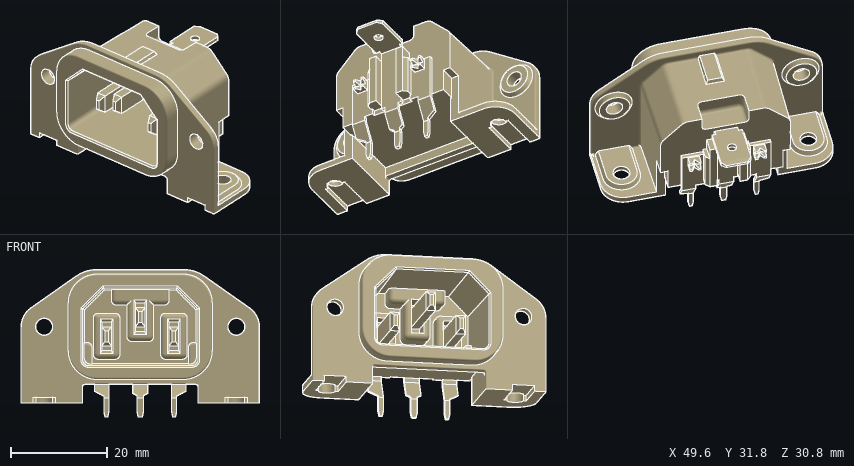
import cadquery as cq
import math


CLEAR = 0.5
NEAR = 0.025
FAR = 49.6

FLANGE_HALF = 24.8
FLANGE_TOP = 27.8
FLANGE_THICK = 1.65
SHOULDER_Z = 18.35
SHOULDER_X = 11.4
TOP_CORNER_R = 7.45
SIDE_CORNER_R = 4.8
NOTCH_HALF = 12.0
NOTCH_TOP = 3.85
NOTCH_R = 0.5
FRONT_EDGE_R = 0.25
BACK_EDGE_R = 0.4

HOLE_X = FLANGE_HALF - SIDE_CORNER_R
HOLE_Z = 15.85
HOLE_R = 1.75
BOSS_R = 3.95
BOSS_TOP_R = 3.25
BOSS_HEIGHT = 0.9
BOSS_TAPER = math.degrees(math.atan((BOSS_R - BOSS_TOP_R) / BOSS_HEIGHT))

FOOT_BACK = 14.8
FOOT_THICK = 1.5
FOOT_HOLE_Y = 8.65
FOOT_SLOT_HALF = 2.35
FOOT_SLOT_DEPTH = 1.2

COLLAR_DEPTH = 3.45
COLLAR_HALF = 15.0
COLLAR_BOTTOM = 4.9
COLLAR_TOP = 26.85
COLLAR_R = 6.05
COLLAR_EDGE_R = 0.4

BODY_BACK = 18.05
BODY_HALF = 13.9
BODY_TOP = 25.6
BODY_BOTTOM = 6.05
BODY_BEVEL = 5.05
BODY_BEVEL_R = 2.15
BODY_DRAFT = 1.0
BODY_ROOT = 0.45
WALL = 1.4
STEP_HALF = 12.3
STEP_TOP = 11.15

RIB_HALF = 2.0
RIB_BACK = 9.05
RIB_TOP = 26.55
RIB_BASE = 25.8
RIB_TAPER = 30.0

TAB_SLOT_HALF = 5.0
TAB_SLOT_FRONT = 13.4
TAB_SLOT_FLOOR = 22.2
TAB_SLOT_R = 1.0
TAB_SLOT_FLOOR_R = 0.95

CAVITY_HALF = 12.0
CAVITY_TOP = 23.95
CAVITY_BOTTOM = 7.8
CAVITY_BEVEL = 4.35
CAVITY_R = 1.25
CAVITY_DRAFT = 1.2
CAVITY_FLOOR = BODY_BACK - WALL
CAVITY_CHAMFER = 0.35
CORNER_BLOCK_HALF = 10.0
CORNER_BLOCK_TOP = 12.6
CORNER_BLOCK_EDGE_R = 0.55
CORNER_BLOCK_FRONT = FOOT_BACK - WALL

LIVE_X = 7.0
LIVE_Z = 13.9
EARTH_Z = 17.85
BLADE_W = 2.0
BLADE_H = 3.95
TIP_W = 0.75
TIP_H = 2.3
TIP_LENGTH = 1.25
LIVE_TIP_Y = 0.5
EARTH_TIP_Y = -2.6
PAD_W = 5.55
PAD_H = 9.55
PAD_FRONT = 13.4
PAD_R = 1.05
PAD_EDGE_R = 1.0
EARTH_PAD_BOTTOM = 12.8
EARTH_HEAD_HALF = TAB_SLOT_HALF + 1.0
EARTH_HEAD_BOTTOM = 20.4
EARTH_PAD_FRONT = TAB_SLOT_FRONT - WALL
POCKET_W = 2.6
POCKET_H = 7.2
POCKET_BACK = 15.15
POCKET_FLOOR_H = 6.0

SHEET = 0.75
SHEET_BACK = BODY_BACK + SHEET
BEND_TOP = 5.1
BEND_BOTTOM = 1.05
LEG_BACK = 16.45
PIN_BOTTOM = -2.95
PIN_TIP = 1.1
PIN_TIP_INSET = 0.25
LIVE_PLATE_IN = 4.55
LIVE_PLATE_OUT = 9.5
LIVE_PLATE_TOP = 15.4
LIVE_NECK_IN = 6.5
LIVE_PIN_OUT = 7.6
LIVE_SHOULDER_TOP = 2.45
LIVE_SHOULDER_BOTTOM = 1.45
EARTH_PLATE_HALF = 2.45
EARTH_NECK_HALF = 1.6
EARTH_NECK_TOP = 6.45
EARTH_PIN_HALF = 0.7
EARTH_SHOULDER_TOP = 2.0
EARTH_SHOULDER_BOTTOM = 1.55
TAB_TOP = 21.75
TAB_THICK = 0.95
TAB_HALF = 3.2
TAB_END = 28.3
TAB_FULL = 19.5
TAB_TIP = 0.95
TAB_TIP_BEVEL = 0.2
TAB_BEND_R = 1.1
TAB_HOLE_R = 0.95
TAB_HOLE_Y = 23.8

STAKE_W = 2.4
STAKE_BACK = 20.55
STAKE_V_HALF = 0.7
STAKE_V_DEPTH = 0.95

GUIDE_IN = 2.45
GUIDE_OUT = 4.85
GUIDE_BACK = 20.95
GUIDE_TOP = 18.85
GUIDE_BOTTOM = 7.25
GUIDE_BEVEL = 0.85
GUIDE_HEAD_OUT = GUIDE_OUT - GUIDE_BEVEL
GUIDE_HEAD_BOTTOM = 16.05


def box(x0, x1, y0, y1, z0, z1):
    """Block between opposite corners."""
    size = (x1 - x0, y1 - y0, z1 - z0)
    return cq.Workplane("XY").box(*size, centered=False).translate((x0, y0, z0))


def facing_front(y):
    """Sketch plane at depth y; its extrusions run toward the front."""
    return cq.Workplane("XZ", origin=(0, y, 0))


def both_sides(shape):
    """A shape and its mirror image in X."""
    return shape.union(shape.mirror("YZ"))


def zone(half, low, high, front=-FAR, back=FAR):
    """Picks edges centred within half of X = 0 and between two heights and depths."""
    return cq.selectors.BoxSelector((-half, front, low), (half, back, high))


def bevelled_outline(y, half, bottom, top, bevel):
    """Rectangle with its two upper corners cut at 45 degrees."""
    points = [
        (-half, bottom), (half, bottom), (half, top - bevel),
        (half - bevel, top), (bevel - half, top), (-half, top - bevel),
    ]
    return facing_front(y).polyline(points).close()


def make_flange():
    outline = [
        (-FLANGE_HALF, 0), (-NOTCH_HALF, 0), (-NOTCH_HALF, NOTCH_TOP),
        (NOTCH_HALF, NOTCH_TOP), (NOTCH_HALF, 0), (FLANGE_HALF, 0),
        (FLANGE_HALF, SHOULDER_Z), (SHOULDER_X, FLANGE_TOP),
        (-SHOULDER_X, FLANGE_TOP), (-FLANGE_HALF, SHOULDER_Z),
    ]
    plate = facing_front(FLANGE_THICK).polyline(outline).close().extrude(FLANGE_THICK)
    for half, height, radius in (
        (SHOULDER_X, FLANGE_TOP, TOP_CORNER_R),
        (FLANGE_HALF, SHOULDER_Z, SIDE_CORNER_R),
        (NOTCH_HALF, NOTCH_TOP, NOTCH_R),
    ):
        corners = zone(half + CLEAR, height - CLEAR, height + CLEAR)
        plate = plate.edges("|Y").edges(corners).fillet(radius)
    plate = plate.faces("<Y").edges(zone(FAR, CLEAR, FAR)).fillet(FRONT_EDGE_R)
    plate = plate.faces(">Y").edges(zone(FAR, NOTCH_TOP + CLEAR, FAR)).fillet(BACK_EDGE_R)
    boss = (
        cq.Workplane("XZ", origin=(HOLE_X, FLANGE_THICK, HOLE_Z))
        .circle(BOSS_R).extrude(-BOSS_HEIGHT, taper=BOSS_TAPER)
    )
    return plate.union(both_sides(boss))


def make_feet():
    foot = box(NOTCH_HALF, FLANGE_HALF, FRONT_EDGE_R, FOOT_BACK, 0, FOOT_THICK)
    foot = foot.edges("|Z and >X and >Y").fillet(SIDE_CORNER_R)
    boss = (
        cq.Workplane("XY", origin=(HOLE_X, 0, FOOT_THICK))
        .moveTo(-BOSS_R, FRONT_EDGE_R).lineTo(-BOSS_R, FOOT_HOLE_Y)
        .threePointArc((0, FOOT_HOLE_Y + BOSS_R), (BOSS_R, FOOT_HOLE_Y))
        .lineTo(BOSS_R, FRONT_EDGE_R).close()
        .extrude(BOSS_HEIGHT, taper=BOSS_TAPER)
    )
    root_end = FLANGE_THICK + BODY_ROOT
    arc_inset = BODY_ROOT * (1 - math.sqrt(0.5))
    root = (
        cq.Workplane("YZ", origin=(BODY_HALF, 0, 0))
        .moveTo(root_end, FOOT_THICK)
        .threePointArc((FLANGE_THICK + arc_inset, FOOT_THICK + arc_inset),
                       (FLANGE_THICK, FOOT_THICK + BODY_ROOT))
        .lineTo(FRONT_EDGE_R, FOOT_THICK + BODY_ROOT).lineTo(FRONT_EDGE_R, FOOT_THICK).close()
        .extrude(FLANGE_HALF - BACK_EDGE_R - BODY_HALF)
    )
    return both_sides(foot.union(root).union(boss))


def make_screw_cuts():
    through_flange = (
        cq.Workplane("XZ", origin=(HOLE_X, -CLEAR, HOLE_Z))
        .circle(HOLE_R).extrude(-2 * FLANGE_THICK - BOSS_HEIGHT)
    )
    through_foot = (
        cq.Workplane("XY", origin=(HOLE_X, FOOT_HOLE_Y, -CLEAR))
        .circle(HOLE_R).extrude(2 * FOOT_THICK + BOSS_HEIGHT)
    )
    slot = box(HOLE_X - FOOT_SLOT_HALF, HOLE_X + FOOT_SLOT_HALF, -CLEAR, FOOT_HOLE_Y,
               -CLEAR, FOOT_SLOT_DEPTH)
    return both_sides(through_flange.union(through_foot).union(slot))


def make_collar():
    height = COLLAR_TOP - COLLAR_BOTTOM
    middle = (COLLAR_TOP + COLLAR_BOTTOM) / 2
    collar = (
        cq.Workplane("XZ", origin=(0, FLANGE_THICK, middle))
        .rect(2 * COLLAR_HALF, height).extrude(FLANGE_THICK + COLLAR_DEPTH)
    )
    collar = collar.edges("|Y").fillet(COLLAR_R)
    return collar.faces("<Y").edges().fillet(COLLAR_EDGE_R)


def make_housing():
    front = FLANGE_THICK / 2
    spread = (BODY_BACK - front) * math.tan(math.radians(BODY_DRAFT))
    back_wire = bevelled_outline(BODY_BACK, BODY_HALF, 0, BODY_TOP, BODY_BEVEL).wire().val()
    front_wire = bevelled_outline(
        front, BODY_HALF + spread, 0, BODY_TOP + spread, BODY_BEVEL).wire().val()
    core = cq.Workplane(cq.Solid.makeLoft([back_wire, front_wire], True))
    bevel_edges = zone(FAR, BODY_BOTTOM, FAR, front + CLEAR, BODY_BACK - CLEAR)
    return core.edges(bevel_edges).fillet(BODY_BEVEL_R)


def make_rib():
    return (
        cq.Workplane("XY", origin=(0, RIB_BACK / 2, RIB_BASE))
        .rect(2 * RIB_HALF, RIB_BACK).extrude(RIB_TOP - RIB_BASE, taper=RIB_TAPER)
    )


def make_housing_cuts():
    behind = BODY_BACK + CLEAR
    channel = box(-NOTCH_HALF, NOTCH_HALF, FLANGE_THICK, behind, -CLEAR, BODY_BOTTOM)
    notch = box(-NOTCH_HALF, NOTCH_HALF, -CLEAR, behind, -CLEAR, NOTCH_TOP)
    notch = notch.edges("|Y and >Z").fillet(NOTCH_R)
    below_back = box(-FAR, FAR, FOOT_BACK, behind, -CLEAR, BODY_BOTTOM)
    step = box(STEP_HALF, FAR, FOOT_BACK, behind, -CLEAR, STEP_TOP)
    return channel.union(notch).union(below_back).union(both_sides(step))


def make_tab_slot():
    slot = box(-TAB_SLOT_HALF, TAB_SLOT_HALF, TAB_SLOT_FRONT, BODY_BACK + CLEAR,
               TAB_SLOT_FLOOR, FLANGE_TOP)
    slot = slot.edges("|Z and <Y").fillet(TAB_SLOT_R)
    slot = slot.faces("<Z").edges("not(>Y)").fillet(TAB_SLOT_FLOOR_R)
    return slot


def make_cavity():
    length = CAVITY_FLOOR + COLLAR_DEPTH
    cavity = bevelled_outline(-COLLAR_DEPTH, CAVITY_HALF, CAVITY_BOTTOM, CAVITY_TOP, CAVITY_BEVEL)
    cavity = cavity.extrude(-length, taper=CAVITY_DRAFT)
    long_edges = cavity.edges("not(#Y)").edges("not(|X)")
    return long_edges.edges(zone(FAR, 0, CAVITY_BOTTOM + 2 * CLEAR)).fillet(CAVITY_R)


def make_floor_pads():
    live = (
        cq.Workplane("XZ", origin=(LIVE_X, CAVITY_FLOOR, LIVE_Z))
        .rect(PAD_W, PAD_H).extrude(CAVITY_FLOOR - PAD_FRONT)
    )
    live = live.edges("|Y").fillet(PAD_R)
    live = live.faces("<Y").edges().fillet(PAD_EDGE_R)
    corner = box(CORNER_BLOCK_HALF, STEP_HALF, CORNER_BLOCK_FRONT, CAVITY_FLOOR,
                 BODY_BOTTOM, CORNER_BLOCK_TOP)
    corner = corner.edges("|Y and <X and >Z").fillet(PAD_R)
    corner = corner.edges("<Y and (not >X) and (not <Z)").fillet(CORNER_BLOCK_EDGE_R)
    return both_sides(live.union(corner))


def make_earth_pad():
    top = (CAVITY_TOP + BODY_TOP) / 2
    half = PAD_W / 2
    outline = [
        (-half, EARTH_PAD_BOTTOM), (half, EARTH_PAD_BOTTOM), (half, EARTH_HEAD_BOTTOM),
        (EARTH_HEAD_HALF, EARTH_HEAD_BOTTOM), (EARTH_HEAD_HALF, top),
        (-EARTH_HEAD_HALF, top), (-EARTH_HEAD_HALF, EARTH_HEAD_BOTTOM), (-half, EARTH_HEAD_BOTTOM),
    ]
    pad = facing_front(CAVITY_FLOOR).polyline(outline).close()
    pad = pad.extrude(CAVITY_FLOOR - EARTH_PAD_FRONT)
    for half_width, z in ((half, EARTH_PAD_BOTTOM), (EARTH_HEAD_HALF, EARTH_HEAD_BOTTOM)):
        corners = zone(half_width + CLEAR, z - CLEAR, z + CLEAR)
        inner = zone(half_width - CLEAR, z - CLEAR, z + CLEAR)
        pad = pad.edges("|Y").edges(corners - inner).fillet(PAD_R)
    return pad.faces("<Y").edges("not(>Z)").fillet(PAD_EDGE_R)


def pocket_at(x, z, front):
    """Tapered recess around a blade."""
    return (
        cq.Workplane("XZ", origin=(x, front, z))
        .rect(POCKET_W, POCKET_H)
        .workplane(offset=front - POCKET_BACK)
        .rect(BLADE_W, POCKET_FLOOR_H).loft(combine=True)
    )


def blade_at(x, z, tip_y):
    """Contact blade with a pyramid-shaped tip, rooted in the rear wall."""
    shoulder = tip_y + TIP_LENGTH
    shank = (
        cq.Workplane("XZ", origin=(x, CAVITY_FLOOR, z))
        .rect(BLADE_W, BLADE_H).extrude(CAVITY_FLOOR - shoulder)
    )
    tip = (
        cq.Workplane("XZ", origin=(x, shoulder, z))
        .rect(BLADE_W, BLADE_H).workplane(offset=TIP_LENGTH)
        .rect(TIP_W, TIP_H).loft(combine=True)
    )
    return shank.union(tip)


def bent_sheet(top):
    """Strip down the rear face of the housing, cranked forward and ending as a pin."""
    profile = [
        (BODY_BACK, top), (BODY_BACK, BEND_TOP), (LEG_BACK - SHEET, BEND_BOTTOM),
        (LEG_BACK - SHEET, PIN_BOTTOM), (LEG_BACK, PIN_BOTTOM), (LEG_BACK, BEND_BOTTOM),
        (SHEET_BACK, BEND_TOP), (SHEET_BACK, top),
    ]
    strip = cq.Workplane("YZ").polyline(profile).close()
    return strip.extrude(FLANGE_HALF, both=True)


def sheet_outline(points):
    """Front silhouette of a terminal, as a block deep enough to trim a strip."""
    return facing_front(TAB_END).polyline(points).close().extrude(TAB_END)


def make_live_terminal():
    inner = LIVE_NECK_IN
    tip_z = PIN_BOTTOM + PIN_TIP
    silhouette = sheet_outline([
        (LIVE_PLATE_IN, LIVE_PLATE_TOP), (LIVE_PLATE_OUT, LIVE_PLATE_TOP),
        (LIVE_PLATE_OUT, LIVE_SHOULDER_TOP), (LIVE_PIN_OUT, LIVE_SHOULDER_BOTTOM),
        (LIVE_PIN_OUT, tip_z), (LIVE_PIN_OUT - PIN_TIP_INSET, PIN_BOTTOM),
        (inner + PIN_TIP_INSET, PIN_BOTTOM), (inner, tip_z),
        (inner, BODY_BOTTOM), (LIVE_PLATE_IN, BODY_BOTTOM),
    ])
    half = STAKE_W / 2
    stake = box(LIVE_X - half, LIVE_X + half, BODY_BACK, STAKE_BACK, LIVE_Z - half, LIVE_Z + half)
    notch = [(-STAKE_V_HALF, STAKE_BACK), (STAKE_V_HALF, STAKE_BACK), (0, STAKE_BACK - STAKE_V_DEPTH)]
    upright_v = (
        cq.Workplane("XY", origin=(LIVE_X, 0, LIVE_Z))
        .polyline(notch).close().extrude(STAKE_W, both=True)
    )
    level_v = upright_v.rotate((LIVE_X, 0, LIVE_Z), (LIVE_X, 1, LIVE_Z), 90)
    stake = stake.cut(upright_v).cut(level_v)
    return both_sides(bent_sheet(LIVE_PLATE_TOP).intersect(silhouette).union(stake))


def make_earth_terminal():
    right = [
        (EARTH_PLATE_HALF, TAB_TOP), (EARTH_PLATE_HALF, EARTH_NECK_TOP),
        (EARTH_NECK_HALF, EARTH_NECK_TOP), (EARTH_NECK_HALF, EARTH_SHOULDER_TOP),
        (EARTH_PIN_HALF, EARTH_SHOULDER_BOTTOM), (EARTH_PIN_HALF, PIN_BOTTOM + PIN_TIP),
        (EARTH_PIN_HALF - PIN_TIP_INSET, PIN_BOTTOM),
    ]
    left = [(-x, z) for x, z in reversed(right)]
    upright = bent_sheet(TAB_TOP).intersect(sheet_outline(right + left))
    root = box(-EARTH_PLATE_HALF, EARTH_PLATE_HALF, BODY_BACK, TAB_FULL,
               TAB_TOP - TAB_THICK, TAB_TOP)
    bend = upright.union(root).edges("|X and >Z").edges("<Y").fillet(TAB_BEND_R)
    under = TAB_TOP - TAB_THICK
    taper_start = TAB_END - TAB_TIP
    side_profile = [
        (TAB_FULL, under), (taper_start, under), (TAB_END, under + TAB_TIP_BEVEL),
        (TAB_END, TAB_TOP - TAB_TIP_BEVEL), (taper_start, TAB_TOP), (TAB_FULL, TAB_TOP),
    ]
    tab = cq.Workplane("YZ").polyline(side_profile).close().extrude(TAB_HALF, both=True)
    plan = box(-TAB_HALF, TAB_HALF, TAB_FULL, TAB_END, 0, FLANGE_TOP)
    tab = tab.intersect(plan.edges("|Z and >Y").chamfer(TAB_TIP))
    hole = cq.Workplane("XY", origin=(0, TAB_HOLE_Y, 0)).circle(TAB_HOLE_R).extrude(FLANGE_TOP)
    return bend.union(tab).cut(hole)


def make_guides():
    lower = box(GUIDE_IN, GUIDE_OUT, BODY_BACK, GUIDE_BACK, GUIDE_BOTTOM, GUIDE_HEAD_BOTTOM)
    lower = lower.edges("|Z and >X and >Y").chamfer(GUIDE_BEVEL)
    head = box(GUIDE_IN, GUIDE_HEAD_OUT, BODY_BACK, GUIDE_BACK, GUIDE_HEAD_BOTTOM, GUIDE_TOP)
    return both_sides(lower.union(head))


def round_flange_root(shell):
    """Fillet the corner where the housing meets the back of the flange."""
    reach = BODY_HALF + CLEAR
    root = cq.selectors.BoxSelector(
        (-reach, FLANGE_THICK - NEAR, -NEAR), (reach, FLANGE_THICK + NEAR, BODY_TOP + CLEAR),
        boundingbox=True)
    return shell.edges(root).edges("not(<Z)").fillet(BODY_ROOT)


def bevel_cavity_rim(shell):
    """Chamfer the front mouth of the cavity."""
    reach = CAVITY_HALF + CLEAR
    mouth = cq.selectors.BoxSelector(
        (-reach, -FAR, CAVITY_BOTTOM - CLEAR), (reach, 0, CAVITY_TOP + CLEAR), boundingbox=True)
    return shell.faces("<Y").edges(mouth).chamfer(CAVITY_CHAMFER)


shell = round_flange_root(make_flange().union(make_housing()))
shell = shell.union(make_feet()).union(make_collar()).union(make_rib())
shell = shell.cut(make_housing_cuts())
shell = bevel_cavity_rim(shell.cut(make_cavity()))
shell = shell.union(make_floor_pads()).union(make_earth_pad())
shell = shell.cut(make_tab_slot()).cut(make_screw_cuts())

inlet = shell
for x, z, front, tip_y in (
    (-LIVE_X, LIVE_Z, PAD_FRONT, LIVE_TIP_Y),
    (LIVE_X, LIVE_Z, PAD_FRONT, LIVE_TIP_Y),
    (0, EARTH_Z, EARTH_PAD_FRONT, EARTH_TIP_Y),
):
    inlet = inlet.cut(pocket_at(x, z, front)).union(blade_at(x, z, tip_y))
inlet = inlet.union(make_guides()).union(make_live_terminal()).union(make_earth_terminal())

result = cq.Workplane(inlet.solids().val())